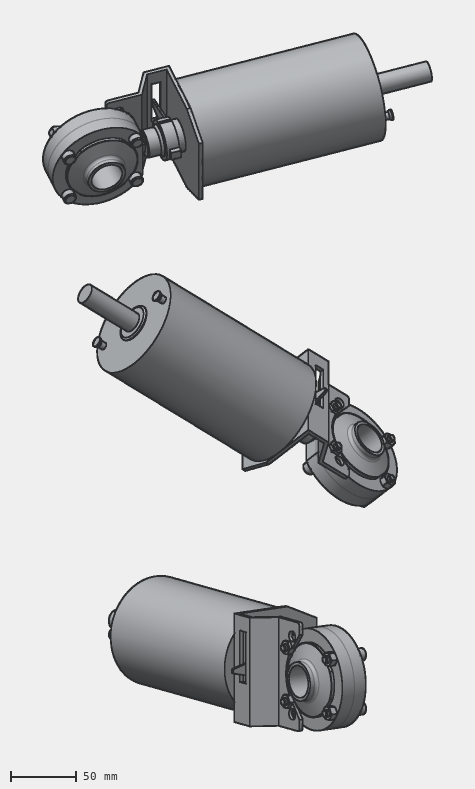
import cadquery as cq
import math


OVERALL_LENGTH = 309.7

FLANGE_D = 79.0
FLANGE_HALF_W = 11.0
FLANGE_FLAT_Y = 33.8
SHOULDER_D = 58.0
SHOULDER_END_X = 13.5
CONE_LARGE_D = 56.7
CONE_SMALL_D = 34.0
CONE_END_X = 17.3
PORT_D = 30.0
PORT_START_X = 20.0
PORT_END_X = 23.8
BORE_D = 25.0
FLAT_DISTANCE = 28.0
STEM_W = 8.5

CYLINDER_D = 85.0
CYLINDER_BOTTOM_Y = 71.2
CYLINDER_TOP_Y = 220.2
ROD_D = 16.0
ROD_END_Y = OVERALL_LENGTH - FLANGE_D / 2
BOSS_D = 29.7
BOSS_TOP_D = 26.0
BOSS_HEIGHT = 1.5
BOSS_RIM_HEIGHT = 0.5
NIPPLE_OFFSET_X = 34.5
NIPPLE_SHANK_D = 6.0
NIPPLE_COLLAR_D = 6.5
NIPPLE_HEAD_D = 8.5
NIPPLE_HEIGHT = 7.7
NIPPLE_HEAD_T = 1.0
NIPPLE_TAPER = 2.0

NECK_D = 26.0
RING_D = 32.2
RING_TOP_Y = 62.0
RING_BOTTOM_Y = 51.7
NECK_END_Y = 51.0
HUB_START_Y = 49.0
HUB_D = 22.0
HUB_END_Y = 38.5
HUB_CHAMFER = 1.0
RING_GROOVE_W = 2.0
RING_GROOVE_DEPTH = 1.0
RING_GROOVE_OFFSET = 3.0
RING_GROOVE_HEIGHT = 9.0
POINTER_T = 2.0
POINTER_TIP_X = -42.5
POINTER_TIP_W = 3.7
POINTER_TIP_BULGE = 1.0
POINTER_ROOT_W = 16.0
EAR_END_X = 19.5
EAR_W = 7.5
EAR_HEIGHT = 8.0

BOLT_Y = 27.3
BOLT_Z = 21.0
BOLT_D = 6.0
BOLT_TIP_D = 5.0
BOLT_TIP_X = -19.5
BOLT_HEAD_D = 10.0
BOLT_HEAD_H = 6.2
BOLT_HEAD_CHAMFER = 1.0
NUT_FLATS = 10.0
NUT_CORNERS_D = NUT_FLATS / math.cos(math.pi / 6)
NUT_H = 5.5
NUT_CHAMFER = 0.5

SHEET_T = 3.0
BRACKET_W = CYLINDER_D
LEG_OUTER_X = -33.5
FIRST_BEND_Y = 50.5
SECOND_BEND_Y = 39.3
BRACKET_END_Y = 12.5
PLATE_END_X = CYLINDER_D / 2
PLATE_TAPER_X = 15.2
PLATE_END_W = 60.7
END_CORNER_R = 2.5
WINDOW_Y = (56.0, 63.5)
WINDOW_Z = (-10.0, 30.5)
SIDE_HOLE_D = 8.5
SIDE_HOLE_Y = 22.0
SIDE_HOLE_Z = 30.5
CUTOUT_R = 30.0
CUTOUT_REACH = 24.8

BOLT_POSITIONS = [(y, z) for y in (BOLT_Y, -BOLT_Y) for z in (BOLT_Z, -BOLT_Z)]
BOLT_ANGLE = math.atan2(BOLT_Z, BOLT_Y)
Y_AXIS = ((0, 0, 0), (0, 1, 0))
X_AXIS = ((0, 0, 0), (1, 0, 0))


def box_between(x_range, y_range, z_range):
    """Box that fills the given ranges."""
    sizes = [high - low for low, high in (x_range, y_range, z_range)]
    corner = (x_range[0], y_range[0], z_range[0])
    return cq.Workplane("XY").box(*sizes, centered=False).translate(corner)


def turned_about_y(profile):
    """Solid of revolution about Y from (radius, y) points."""
    return cq.Workplane("XY").polyline(profile).close().revolve(360, *Y_AXIS)


def make_nipple(x):
    """Air nipple on the top face: a shank, a collar that widens and a thin head."""
    top = CYLINDER_TOP_Y + NIPPLE_HEIGHT
    head_bottom = top - NIPPLE_HEAD_T
    profile = [
        (0, CYLINDER_TOP_Y),
        (NIPPLE_SHANK_D / 2, CYLINDER_TOP_Y),
        (NIPPLE_SHANK_D / 2, head_bottom - NIPPLE_TAPER),
        (NIPPLE_COLLAR_D / 2, head_bottom - NIPPLE_TAPER),
        (NIPPLE_HEAD_D / 2, head_bottom),
        (NIPPLE_HEAD_D / 2, top),
        (0, top),
    ]
    return turned_about_y(profile).translate((x, 0, 0))


def make_pointer():
    """Flat pointer with a rounded tip, reaching from the ring toward -X."""
    tip_corner_x = POINTER_TIP_X + POINTER_TIP_BULGE
    return (
        cq.Workplane("XZ", origin=(0, RING_TOP_Y, 0))
        .moveTo(0, -POINTER_ROOT_W / 2)
        .lineTo(-RING_D / 2, -POINTER_ROOT_W / 2)
        .lineTo(tip_corner_x, -POINTER_TIP_W / 2)
        .threePointArc((POINTER_TIP_X, 0), (tip_corner_x, POINTER_TIP_W / 2))
        .lineTo(-RING_D / 2, POINTER_ROOT_W / 2)
        .lineTo(0, POINTER_ROOT_W / 2)
        .close()
        .extrude(POINTER_T)
    )


def make_coupling_grooves():
    """Shallow axial grooves on the +Z and -X sides of the ring."""
    y_range = (RING_TOP_Y - RING_GROOVE_HEIGHT, RING_TOP_Y)
    floor = RING_D / 2 - RING_GROOVE_DEPTH
    near = RING_GROOVE_OFFSET - RING_GROOVE_W / 2
    far = RING_GROOVE_OFFSET + RING_GROOVE_W / 2
    upper = box_between((-far, -near), y_range, (floor, RING_D))
    side = box_between((-RING_D, -floor), y_range, (near, far))
    return upper.union(side)


def make_actuator():
    """Cylinder with rod and nipples on top, and neck, ring and coupling hub below."""
    boss_top = CYLINDER_TOP_Y + BOSS_HEIGHT
    body = turned_about_y([
        (0, HUB_END_Y),
        (HUB_D / 2 - HUB_CHAMFER, HUB_END_Y),
        (HUB_D / 2, HUB_END_Y + HUB_CHAMFER),
        (HUB_D / 2, HUB_START_Y),
        (NECK_D / 2, NECK_END_Y),
        (NECK_D / 2, RING_BOTTOM_Y),
        (RING_D / 2, RING_BOTTOM_Y),
        (RING_D / 2, RING_TOP_Y),
        (NECK_D / 2, RING_TOP_Y),
        (NECK_D / 2, CYLINDER_BOTTOM_Y),
        (CYLINDER_D / 2, CYLINDER_BOTTOM_Y),
        (CYLINDER_D / 2, CYLINDER_TOP_Y),
        (BOSS_D / 2, CYLINDER_TOP_Y),
        (BOSS_D / 2, CYLINDER_TOP_Y + BOSS_RIM_HEIGHT),
        (BOSS_TOP_D / 2, boss_top),
        (ROD_D / 2, boss_top),
        (ROD_D / 2, ROD_END_Y),
        (0, ROD_END_Y),
    ])
    ear_z = (-EAR_W / 2, EAR_W / 2)
    ear = box_between((0, EAR_END_X), (RING_TOP_Y - EAR_HEIGHT, RING_TOP_Y), ear_z)
    body = body.cut(make_coupling_grooves()).union(make_pointer()).union(ear)
    for x in (-NIPPLE_OFFSET_X, NIPPLE_OFFSET_X):
        body = body.union(make_nipple(x))
    return body


def make_bolt(y, z):
    """Bolt with its head on the +X flange face and its nut on the -X flange face."""
    tip_chamfer = (BOLT_D - BOLT_TIP_D) / 2
    shank = (
        cq.Workplane("YZ", origin=(BOLT_TIP_X, 0, 0))
        .circle(BOLT_D / 2)
        .extrude(FLANGE_HALF_W - BOLT_TIP_X)
        .faces("<X")
        .chamfer(tip_chamfer * 2, tip_chamfer)
    )
    head = (
        cq.Workplane("YZ", origin=(FLANGE_HALF_W, 0, 0))
        .circle(BOLT_HEAD_D / 2)
        .extrude(BOLT_HEAD_H)
        .faces(">X")
        .chamfer(BOLT_HEAD_CHAMFER)
    )
    return shank.union(head).union(make_nut()).translate((0, y, z))


def make_nut_prism():
    """Hexagonal prism on the -X flange face with two corners along Y."""
    return cq.Workplane("YZ", origin=(-FLANGE_HALF_W, 0, 0)).polygon(6, NUT_CORNERS_D).extrude(-NUT_H)


def make_nut():
    """Hexagonal nut whose corners are chamfered on both faces."""
    chamfered_disc = (
        cq.Workplane("YZ", origin=(-FLANGE_HALF_W, 0, 0))
        .circle(NUT_CORNERS_D / 2)
        .extrude(-NUT_H)
        .edges()
        .chamfer(NUT_CHAMFER)
    )
    return make_nut_prism().intersect(chamfered_disc)


def make_valve_end():
    """The +X half of the valve, turned about the bore axis."""
    fillet_angle = math.atan2((CONE_LARGE_D - CONE_SMALL_D) / 2, CONE_END_X - SHOULDER_END_X)
    fillet_r = (PORT_START_X - CONE_END_X) / math.sin(fillet_angle)
    mid = fillet_angle / 2
    fillet_mid = (
        PORT_START_X - fillet_r * math.sin(mid),
        PORT_D / 2 + fillet_r * (1 - math.cos(mid)),
    )
    return (
        cq.Workplane("XY")
        .moveTo(0, BORE_D / 2)
        .lineTo(0, FLANGE_D / 2)
        .lineTo(FLANGE_HALF_W, FLANGE_D / 2)
        .lineTo(FLANGE_HALF_W, SHOULDER_D / 2)
        .lineTo(SHOULDER_END_X, SHOULDER_D / 2)
        .lineTo(SHOULDER_END_X, CONE_LARGE_D / 2)
        .lineTo(CONE_END_X, CONE_SMALL_D / 2)
        .threePointArc(fillet_mid, (PORT_START_X, PORT_D / 2))
        .lineTo(PORT_END_X, PORT_D / 2)
        .lineTo(PORT_END_X, BORE_D / 2)
        .close()
        .revolve(360, *X_AXIS)
    )


def make_shoulder_flats():
    """Blocks that cut a flat on the +X shoulder beside every bolt."""
    block = box_between(
        (FLANGE_HALF_W, PORT_END_X), (FLAT_DISTANCE, FLANGE_D / 2), (-FLANGE_D / 4, FLANGE_D / 4)
    )
    blocks = cq.Workplane("XY")
    for y, z in BOLT_POSITIONS:
        blocks = blocks.union(block.rotate(*X_AXIS, math.degrees(math.atan2(z, y))))
    return blocks


def make_valve(bolts):
    """Flanged valve body with its stem and one hole per bolt."""
    above_flat = box_between((0, FLANGE_HALF_W), (FLANGE_FLAT_Y, FLANGE_D), (-FLANGE_D, FLANGE_D))
    half = make_valve_end().cut(above_flat).cut(make_shoulder_flats())
    valve = half.union(half.mirror("YZ"), clean=False)
    stem_half = STEM_W / 2
    stem = box_between((-stem_half, stem_half), (FLANGE_FLAT_Y, HUB_END_Y), (-stem_half, stem_half))
    valve = valve.union(stem, clean=False)
    for bolt in bolts:
        valve = valve.cut(bolt, clean=False)
    return valve


def make_bent_sheet():
    """Folded sheet: top plate, leg, sloped step and the tab on the valve flange."""
    tab_inner_x = -FLANGE_HALF_W
    tab_outer_x = tab_inner_x - SHEET_T
    slope = math.atan2(FIRST_BEND_Y - SECOND_BEND_Y, tab_outer_x - LEG_OUTER_X)
    bend_shift = SHEET_T * math.tan((math.pi / 2 - slope) / 2)
    plate_bottom = CYLINDER_BOTTOM_Y - SHEET_T
    return (
        cq.Workplane("XY", origin=(0, 0, -BRACKET_W / 2))
        .polyline([
            (PLATE_END_X, CYLINDER_BOTTOM_Y),
            (LEG_OUTER_X, CYLINDER_BOTTOM_Y),
            (LEG_OUTER_X, FIRST_BEND_Y),
            (tab_outer_x, SECOND_BEND_Y),
            (tab_outer_x, BRACKET_END_Y),
            (tab_inner_x, BRACKET_END_Y),
            (tab_inner_x, SECOND_BEND_Y + bend_shift),
            (LEG_OUTER_X + SHEET_T, FIRST_BEND_Y + bend_shift),
            (LEG_OUTER_X + SHEET_T, plate_bottom),
            (PLATE_END_X, plate_bottom),
        ])
        .close()
        .extrude(BRACKET_W)
    )


def make_plate_corner_cut(side):
    """Wedge that tapers the top plate on one Z side."""
    return (
        cq.Workplane("XZ", origin=(0, CYLINDER_BOTTOM_Y, 0))
        .polyline([
            (PLATE_TAPER_X, side * BRACKET_W / 2),
            (PLATE_END_X, side * BRACKET_W / 2),
            (PLATE_END_X, side * PLATE_END_W / 2),
        ])
        .close()
        .extrude(SHEET_T)
    )


def make_tab_cutout():
    """Round opening for the valve shoulder that flares toward the tab end along two tangents."""
    tangent_y = CUTOUT_R * math.cos(BOLT_ANGLE)
    tangent_z = CUTOUT_R * math.sin(BOLT_ANGLE)
    mouth_y = tangent_y - CUTOUT_REACH * math.sin(BOLT_ANGLE)
    mouth_z = tangent_z + CUTOUT_REACH * math.cos(BOLT_ANGLE)
    return (
        cq.Workplane("YZ", origin=(-FLANGE_HALF_W - SHEET_T, 0, 0))
        .moveTo(mouth_y, mouth_z)
        .lineTo(tangent_y, tangent_z)
        .threePointArc((CUTOUT_R, 0), (tangent_y, -tangent_z))
        .lineTo(mouth_y, -mouth_z)
        .close()
        .extrude(SHEET_T)
    )


def make_bracket():
    """Bracket between actuator and valve, open around the neck, the shoulder and the nuts."""
    tab_outer_x = -FLANGE_HALF_W - SHEET_T
    bracket = make_bent_sheet()
    bracket = bracket.edges("|X").edges("<Y").fillet(END_CORNER_R)
    for side in (-1, 1):
        bracket = bracket.cut(make_plate_corner_cut(side))
    bracket = bracket.cut(make_tab_cutout())
    neck_hole = (
        cq.Workplane("XZ", origin=(0, CYLINDER_BOTTOM_Y, 0)).circle(NECK_D / 2).extrude(SHEET_T)
    )
    window = box_between((LEG_OUTER_X, LEG_OUTER_X + SHEET_T), WINDOW_Y, WINDOW_Z)
    side_holes = (
        cq.Workplane("YZ", origin=(tab_outer_x, 0, 0))
        .pushPoints([(SIDE_HOLE_Y, SIDE_HOLE_Z), (SIDE_HOLE_Y, -SIDE_HOLE_Z)])
        .circle(SIDE_HOLE_D / 2)
        .extrude(SHEET_T)
    )
    bracket = bracket.cut(neck_hole).cut(window).cut(side_holes)
    for y, z in BOLT_POSITIONS:
        bracket = bracket.cut(make_nut_prism().translate((0, y, z)))
    return bracket


bolts = [make_bolt(y, z) for y, z in BOLT_POSITIONS]
actuator = make_actuator()
valve = make_valve(bolts)
bracket = make_bracket()

bodies = [actuator, bracket, valve, *bolts]

result = cq.Compound.makeCompound([body.solids().val() for body in bodies])